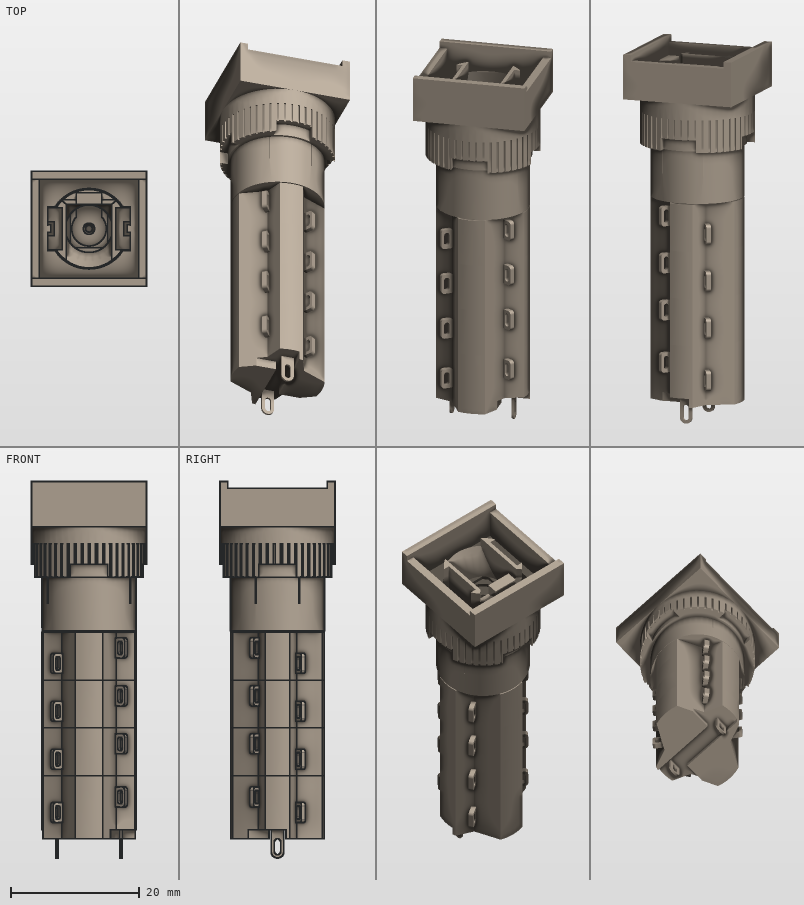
import cadquery as cq
import math

total_height = 58.8
stack_bottom = 3.0
lobe_bottom = 4.4
last_stage_top = 12.8
stack_top = 35.3
barrel_bottom = 35.45
ring_bottom = 43.85
notch_top = 45.85
knurl_top = 49.05
head_bottom = 51.7
head_floor = 52.55
insert_rim = 55.2
insert_top = 56.9

cut_margin = 0.6

head_width = 18.0
head_inner_width = 15.45
side_wall_drop = 1.05
ring_radius = head_width / 2
knurl_count = 50
knurl_pitch = 360 / knurl_count
knurl_offset = 0.45
knurl_width = 0.3
knurl_depth = 0.3
notch_width = 5.9
notch_radius = 7.75

bore_radius = 6.3
channel_half_length = 6.45
channel_width = 6.8
channel_bottom = 48.2
tongue_width = 1.2
tongue_tip = 5.95

insert_radius = 6.1
wing_width = 6.6
wing_top = 51.15
wing_slot_width = 2.1
wing_slot_inner = 5.4
plate_outer = 4.2
plate_end_rise = 0.2
window_half_width = 3.6
window_back = 3.8
rear_block_width = 4.05
rear_block_back = 5.6
ledge_front = 4.5
ledge_step = 0.2

funnel_bottom = 50.8
funnel_radius = 3.7
seat_half_width = 2.95
seat_floor = 50.2
lamp_pocket_radius = 2.7
lamp_pocket_floor = 49.6
lamp_hole_radius = 0.9
lamp_hole_depth = 3.5

barrel_radius = 7.35
tab_half_width = 3.45
slit_width = 0.1
slit_depth = 0.09
slit_bottom = 39.8

lobe_half_width_x = 2.2
lobe_half_width_y = 1.9
groove_x = 4.25
groove_y = 3.0
stage_count = 4
stage_height = (stack_top - last_stage_top) / (stage_count - 1)
last_stage_shift = 0.8
neck_radius = 4.7
foot_slot_width = 2.6
foot_recess_inner = 3.35
foot_recess_reach = 4.6

lug_height = 3.2
lug_angle = 35.0
lug_thickness = 0.75
lug_tip_radius = 7.05
lug_root_radius = 5.0
lug_corner = 0.5
lug_slot_center = 6.2
lug_slot_width = 0.9
lug_slot_height = 2.1
upper_lug_drop = 2.45
lower_lug_drop = 4.9

terminal_spacing = 10.0
terminal_width = 2.0
terminal_thickness = 0.35
terminal_slot_width = 0.95
terminal_slot_bottom = 0.5
terminal_slot_top = 3.0


def block(x_min, x_max, y_min, y_max, z_min, z_max):
    """Box given by its limits."""
    size = (x_max - x_min, y_max - y_min, z_max - z_min)
    return cq.Workplane("XY").box(*size, centered=False).translate((x_min, y_min, z_min))


def centered_block(x_size, y_size, z_min, z_max):
    """Box centred on the Z axis."""
    return block(-x_size / 2, x_size / 2, -y_size / 2, y_size / 2, z_min, z_max)


def disc(radius, z_min, z_max):
    """Cylinder around the Z axis."""
    return cq.Workplane("XY").workplane(offset=z_min).circle(radius).extrude(z_max - z_min)


def cone(bottom_radius, top_radius, z_min, z_max):
    """Cone or frustum around the Z axis."""
    base = cq.Vector(0, 0, z_min)
    return cq.Workplane(cq.Solid.makeCone(bottom_radius, top_radius, z_max - z_min, pnt=base))


def both_ends(shape):
    """The shape and its copy turned half a turn around the Z axis."""
    return shape.union(shape.rotate((0, 0, 0), (0, 0, 1), 180))


def knurl_grooves():
    groove = block(ring_radius - knurl_depth, ring_radius + cut_margin, -knurl_width / 2, knurl_width / 2,
                   ring_bottom, knurl_top)
    grooves = cq.Workplane("XY")
    for index in range(knurl_count):
        angle = -90 + knurl_offset + index * knurl_pitch
        grooves.add(groove.rotate((0, 0, 0), (0, 0, 1), angle))
    return grooves.combine()


def rim_notches():
    """Gaps in the lower rim of the ring on all four sides, open to the outside and below."""
    along_x = centered_block(head_width, notch_width, ring_bottom, notch_top)
    along_y = centered_block(notch_width, head_width, ring_bottom, notch_top)
    return along_x.union(along_y).cut(disc(notch_radius, ring_bottom, notch_top))


def channel_tongues():
    tongue = block(tongue_tip, channel_half_length, -tongue_width / 2, tongue_width / 2,
                   head_bottom, head_floor)
    return both_ends(tongue)


def make_head():
    side_wall_top = total_height - side_wall_drop
    head = centered_block(head_width, head_width, head_bottom, total_height)
    head = head.union(disc(ring_radius, ring_bottom, head_bottom))
    head = head.cut(centered_block(head_inner_width, head_inner_width, head_floor, total_height))
    head = head.cut(centered_block(head_width, head_inner_width, side_wall_top, total_height))
    head = head.cut(disc(bore_radius, channel_bottom, head_floor))
    head = head.cut(centered_block(2 * channel_half_length, channel_width, channel_bottom, head_floor))
    head = head.union(channel_tongues())
    return head.cut(rim_notches()).cut(knurl_grooves())


def insert_blank():
    """Round stem with raised side plates, a raised rear block and a stepped ledge beside it."""
    stem = disc(insert_radius, channel_bottom, insert_rim)
    ledge_trim = block(-insert_radius, insert_radius, window_back, ledge_front,
                       insert_rim - ledge_step, insert_rim)
    plate_rear = insert_radius * math.sqrt(0.5)
    plate_outline = [
        (window_half_width, -insert_radius),
        (insert_radius, -insert_radius),
        (insert_radius, plate_rear),
        (plate_rear, plate_rear + plate_end_rise),
        (window_half_width, window_back),
    ]
    plate = cq.Workplane("XY").workplane(offset=insert_rim - ledge_step).polyline(plate_outline).close()
    plate = plate.extrude(insert_top - insert_rim + ledge_step)
    plates = plate.union(plate.mirror("YZ")).intersect(disc(insert_radius, channel_bottom, insert_top))
    rear_block = block(-rear_block_width / 2, rear_block_width / 2, window_back, rear_block_back,
                       insert_rim - ledge_step, insert_top)
    return stem.cut(ledge_trim).union(plates).union(rear_block)


def insert_wings():
    """Wings in the side channels, each with a slot around the tongue."""
    wings = centered_block(2 * channel_half_length, wing_width, channel_bottom, wing_top)
    slot = block(wing_slot_inner, channel_half_length, -wing_slot_width / 2, wing_slot_width / 2,
                 channel_bottom, wing_top)
    return wings.cut(both_ends(slot))


def lamp_seat():
    """Funnel clipped by the window, the stepped pockets and the pointed lamp hole."""
    window = block(-window_half_width, window_half_width, -bore_radius, window_back,
                   lamp_pocket_floor, insert_top)
    funnel = cone(funnel_radius, insert_radius, funnel_bottom, insert_rim).intersect(window)
    opening = window.intersect(disc(bore_radius, insert_rim, insert_top))
    seat = block(-seat_half_width, seat_half_width, -seat_half_width, window_back,
                 seat_floor, funnel_bottom)
    seat = seat.intersect(disc(funnel_radius, seat_floor, funnel_bottom))
    pocket = disc(lamp_pocket_radius, lamp_pocket_floor, funnel_bottom)
    key = block(-rear_block_width / 2, rear_block_width / 2, 0, window_back,
                lamp_pocket_floor, funnel_bottom)
    key = key.intersect(disc(funnel_radius, lamp_pocket_floor, funnel_bottom))
    hole = cone(0, lamp_hole_radius, lamp_pocket_floor - lamp_hole_depth, lamp_pocket_floor)
    return funnel.union(opening).union(seat).union(pocket).union(key).union(hole)


def make_insert():
    pocket = block(plate_outer, channel_half_length, -wing_width / 2, wing_width / 2,
                   channel_bottom, insert_top)
    return insert_blank().cut(both_ends(pocket)).union(insert_wings()).cut(lamp_seat())


def tab_slits():
    """Shallow wedge slits along both edges of the spring tabs on the -X and +X sides."""
    edge_x = math.sqrt(barrel_radius**2 - tab_half_width**2)
    inner_y = tab_half_width - slit_width
    inner_x = math.sqrt(barrel_radius**2 - inner_y**2)
    outline = [
        (inner_x, inner_y),
        (edge_x - slit_depth, tab_half_width),
        (edge_x + cut_margin, tab_half_width),
    ]
    slit = cq.Workplane("XY").workplane(offset=slit_bottom).polyline(outline).close()
    slit = slit.extrude(ring_bottom - slit_bottom)
    return both_ends(slit.union(slit.mirror("XZ")))


def make_operator():
    """Head, insert and barrel, with a thin neck that joins them to the contact stack."""
    barrel = disc(barrel_radius, barrel_bottom, ring_bottom).cut(tab_slits())
    neck = disc(neck_radius, stack_top, barrel_bottom)
    return make_head().union(make_insert()).union(barrel).union(neck)


def star_prism(bottom, top):
    """Four lobes with V grooves between them."""
    side_x = math.sqrt(barrel_radius**2 - lobe_half_width_y**2)
    side_y = math.sqrt(barrel_radius**2 - lobe_half_width_x**2)
    return (
        cq.Workplane("XY").workplane(offset=bottom)
        .moveTo(side_x, -lobe_half_width_y)
        .threePointArc((barrel_radius, 0), (side_x, lobe_half_width_y))
        .lineTo(groove_x, groove_y)
        .lineTo(lobe_half_width_x, side_y)
        .threePointArc((0, barrel_radius), (-lobe_half_width_x, side_y))
        .lineTo(-groove_x, groove_y)
        .lineTo(-side_x, lobe_half_width_y)
        .threePointArc((-barrel_radius, 0), (-side_x, -lobe_half_width_y))
        .lineTo(-groove_x, -groove_y)
        .lineTo(-lobe_half_width_x, -side_y)
        .threePointArc((0, -barrel_radius), (lobe_half_width_x, -side_y))
        .lineTo(groove_x, -groove_y)
        .close()
        .extrude(top - bottom)
    )


def contact_lug(angle, height):
    """Upright slotted plate standing radially in a V groove."""
    length = lug_tip_radius - lug_root_radius
    plate = cq.Workplane("XZ").center((lug_root_radius + lug_tip_radius) / 2, 0).rect(length, lug_height)
    plate = plate.extrude(lug_thickness / 2, both=True).edges("|Y").fillet(lug_corner)
    slot = cq.Workplane("XZ").center(lug_slot_center, 0).slot2D(lug_slot_height, lug_slot_width, 90)
    lug = plate.cut(slot.extrude(lug_thickness, both=True))
    return lug.rotate((0, 0, 0), (0, 0, 1), angle).translate((0, 0, height))


def make_stage(index):
    """One contact stage; the last one reaches down to the foot of the stack."""
    is_last = index == stage_count - 1
    top = stack_top - index * stage_height
    bottom = stack_bottom if is_last else top - stage_height
    lug_top = top - last_stage_shift if is_last else top
    stage = star_prism(bottom, top)
    lug_drops = [
        (lug_angle, lower_lug_drop),
        (180 - lug_angle, upper_lug_drop),
        (180 + lug_angle, lower_lug_drop),
        (-lug_angle, upper_lug_drop),
    ]
    for angle, drop in lug_drops:
        stage = stage.union(contact_lug(angle, lug_top - drop))
    return stage


def foot_cutouts():
    """Through slot and two corner recesses in the lower end of the stack."""
    foot_slot = centered_block(head_width, foot_slot_width, stack_bottom, lobe_bottom)
    foot_recess = block(foot_recess_inner, head_width / 2, -foot_recess_reach, foot_slot_width / 2,
                        stack_bottom, lobe_bottom)
    return foot_slot.union(both_ends(foot_recess))


def lamp_terminal(center_x):
    """Flat strip with a round lower end and a slot."""
    radius = terminal_width / 2
    outline = (
        cq.Workplane("YZ")
        .moveTo(-radius, lobe_bottom)
        .lineTo(-radius, radius)
        .threePointArc((0, 0), (radius, radius))
        .lineTo(radius, lobe_bottom)
        .close()
    )
    strip = outline.extrude(terminal_thickness / 2, both=True)
    slot_middle = (terminal_slot_bottom + terminal_slot_top) / 2
    slot = cq.Workplane("YZ").center(0, slot_middle)
    slot = slot.slot2D(terminal_slot_top - terminal_slot_bottom, terminal_slot_width, 90)
    return strip.cut(slot.extrude(terminal_thickness, both=True)).translate((center_x, 0, 0))


def add_foot(stage):
    stage = stage.cut(foot_cutouts())
    for center_x in (-terminal_spacing / 2, terminal_spacing / 2):
        stage = stage.union(lamp_terminal(center_x))
    return stage


operator = make_operator().union(make_stage(0))
middle_stages = [make_stage(index) for index in range(1, stage_count - 1)]
last_stage = add_foot(make_stage(stage_count - 1))

bodies = [operator, *middle_stages, last_stage]
result = cq.Compound.makeCompound([body.solids().val() for body in bodies])